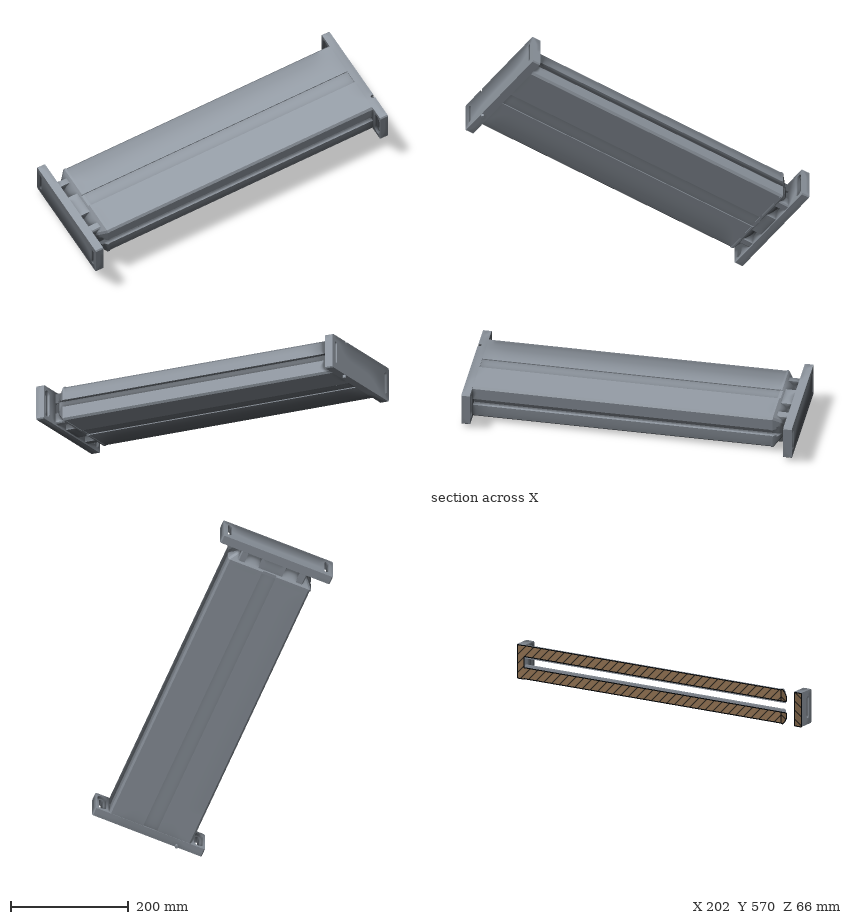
import cadquery as cq

overall_length = 570.0
plate_width = 202.0
plate_height = 60.0
plate_thickness = 15.0
plate_corner_chamfer = 2.0
collar_front_gap = 23.0
collar_length = 3.5

front_y = -overall_length / 2
back_y = overall_length / 2
front_plate_inner_y = front_y + plate_thickness
back_plate_inner_y = back_y - plate_thickness
collar_front_y = front_plate_inner_y + collar_front_gap
collar_back_y = collar_front_y + collar_length

rail_width = 151.0
collar_overhang = 0.85
collar_above_plate = 1.0
section_chamfer = 3.5

collar_width = rail_width + 2 * collar_overhang
collar_height = plate_height + collar_above_plate
rail_height = collar_height - 2 * collar_overhang
axis_z = collar_above_plate / 2

strip_width = 25.5
strip_depth = 1.5

slot_mouth_height = 12.0
slot_lip = 5.0
slot_wide_height = 20.0
slot_floor_height = 16.0
slot_depth = 12.5

neck_width = 119.5
neck_height = 53.5
neck_chamfer = 2.0
neck_pit_inner_x = 21.5
neck_pit_outer_x = 47.5
neck_pit_depth = 16.5
neck_pit_radius = 11.5
neck_notch_height = 17.5
neck_notch_depth = 4.0

mount_spacing = 178.0
mount_width = 7.0
mount_length = 37.5
counterbore_margin = 4.5
counterbore_depth = 4.5

peg_x = 53.5
peg_diameter = 5.5
peg_length = 5.0
socket_diameter = 7.0
socket_depth = 5.5


def bar(width, height, start_y, end_y, z=0.0, x=0.0):
    """Rectangular bar along Y."""
    length = end_y - start_y
    return cq.Workplane("XY").box(width, length, height).translate((x, (start_y + end_y) / 2, z))


def chamfered_bar(width, height, chamfer, start_y, end_y, z=0.0):
    """Rectangular bar along Y with its four long edges chamfered."""
    return bar(width, height, start_y, end_y, z).edges("|Y").chamfer(chamfer)


def section_points(width, height, chamfer):
    """Corners of a rectangle with four chamfered corners, centred on the origin."""
    x = width / 2
    z = height / 2
    return [
        (x - chamfer, z), (x, z - chamfer), (x, chamfer - z), (x - chamfer, -z),
        (chamfer - x, -z), (-x, chamfer - z), (-x, z - chamfer), (chamfer - x, z),
    ]


def mount_slots(face_y, length_y, width, height):
    """Pair of upright round-ended slots running from face_y towards -Y."""
    return (
        cq.Workplane("XZ", origin=(0, face_y, 0))
        .pushPoints([(-mount_spacing / 2, 0), (mount_spacing / 2, 0)])
        .slot2D(height, width, 90)
        .extrude(length_y)
    )


def end_plate(start_y, counterbore_start_y):
    """End plate with two mounting slots, counterbored towards -Y from counterbore_start_y."""
    end_y = start_y + plate_thickness
    plate = chamfered_bar(plate_width, plate_height, plate_corner_chamfer, start_y, end_y)
    through_slots = mount_slots(end_y, plate_thickness, mount_width, mount_length)
    counterbores = mount_slots(
        counterbore_start_y,
        counterbore_depth,
        mount_width + 2 * counterbore_margin,
        mount_length + 2 * counterbore_margin,
    )
    return plate.cut(through_slots).cut(counterbores)


def cut_t_slots(body, start_y, end_y):
    """Cut the T-slot into both sides, measured in from the rail sides."""
    outside_x = collar_width
    lip_x = rail_width / 2 - slot_lip
    floor_x = rail_width / 2 - slot_depth
    mouth = slot_mouth_height / 2
    wide = slot_wide_height / 2
    floor = slot_floor_height / 2
    slot = (
        cq.Workplane("XZ", origin=(0, end_y, axis_z))
        .polyline([
            (outside_x, mouth), (lip_x, mouth), (lip_x, wide), (floor_x, floor),
            (floor_x, -floor), (lip_x, -wide), (lip_x, -mouth), (outside_x, -mouth),
        ])
        .close()
        .extrude(end_y - start_y)
    )
    return body.cut(slot).cut(slot.mirror("YZ"))


def cut_strips(body, width, body_height, start_y, end_y):
    """Cut the shallow strip recess into the top and bottom."""
    for side in (1, -1):
        strip_z = axis_z + side * body_height / 2
        body = body.cut(bar(width, 2 * strip_depth, start_y, end_y, strip_z))
    return body


def neck():
    """Chamfered block with pits above and below and a notch in each side."""
    block = chamfered_bar(
        neck_width, neck_height, neck_chamfer, front_plate_inner_y, collar_front_y
    )
    pit_width = neck_pit_outer_x - neck_pit_inner_x
    pit_x = (neck_pit_outer_x + neck_pit_inner_x) / 2
    for side in (1, -1):
        notch_x = side * neck_width / 2
        block = block.cut(
            bar(2 * neck_notch_depth, neck_notch_height, front_plate_inner_y, collar_front_y, 0, notch_x)
        )
        for level in (1, -1):
            pit = bar(
                pit_width, 2 * neck_pit_depth, front_plate_inner_y, collar_front_y,
                level * neck_height / 2, side * pit_x,
            ).edges("|Y").fillet(neck_pit_radius)
            block = block.cut(pit)
    return block


def flare():
    """45 degree pyramid from the collar down to the front plate."""
    return (
        cq.Workplane("XZ", origin=(0, collar_front_y, axis_z))
        .polyline(section_points(collar_width, collar_height, section_chamfer))
        .close()
        .workplane(offset=collar_front_gap)
        .polyline(section_points(
            collar_width - 2 * collar_front_gap,
            collar_height - 2 * collar_front_gap,
            section_chamfer,
        ))
        .close()
        .loft(ruled=True)
    )


def make_rail():
    """Slotted rail with the back plate and its locating peg."""
    rail = chamfered_bar(
        rail_width, rail_height, section_chamfer, collar_back_y, back_plate_inner_y, axis_z
    )
    rail = cut_strips(rail, strip_width, rail_height, collar_back_y, back_plate_inner_y)
    rail = cut_t_slots(rail, collar_back_y, back_plate_inner_y)

    plate = end_plate(back_plate_inner_y, back_plate_inner_y + counterbore_depth)
    peg_y = back_y - peg_diameter / 2
    peg = (
        cq.Workplane("XY", origin=(peg_x, peg_y, -plate_height / 2 - peg_length))
        .circle(peg_diameter / 2)
        .extrude(peg_length)
    )
    socket = (
        cq.Workplane("XY", origin=(peg_x, peg_y, plate_height / 2 - socket_depth))
        .circle(socket_diameter / 2)
        .extrude(socket_depth)
    )
    return rail.union(plate.cut(socket)).union(peg)


def make_head():
    """Collar, flare and ribbed neck ending in the front plate."""
    collar = chamfered_bar(
        collar_width, collar_height, section_chamfer, collar_front_y, collar_back_y, axis_z
    )
    collar = collar.union(flare())
    collar_strip_width = strip_width - 2 * collar_overhang
    collar = cut_strips(collar, collar_strip_width, collar_height, front_plate_inner_y, collar_back_y)
    collar = cut_t_slots(collar, front_plate_inner_y, collar_back_y)
    plate = end_plate(front_y, front_plate_inner_y)
    return collar.union(neck()).union(plate)


rail = make_rail()
head = make_head()
result = cq.Compound.makeCompound([rail.val(), head.val()])